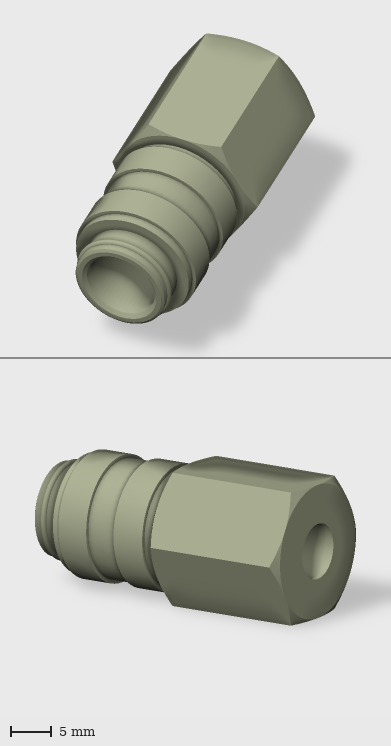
import cadquery as cq
import math

total_length = 38.0

across_flats = 17.0
across_corners = across_flats / math.cos(math.radians(30))
hex_start = 19.05
hex_length = total_length - hex_start
hex_chamfer_angle = 30.0

neck_diameter = 13.65
sleeve_diameter = 15.2
sleeve_start = 3.95
sleeve_end = 18.43
band_diameter = 16.2
front_band = (5.05, 9.15)
rear_band = (13.2, 17.4)

tip_diameter = 12.0
tip_chamfer_length = 0.23
tip_chamfer_depth = 0.35
ring_center = 1.52
ring_section_radius = 0.4
ring_diameter = 12.73

through_diameter = 7.03
socket_diameter = 9.12
socket_depth = 9.5
mouth_diameter = 10.07
mouth_chamfer_length = 0.45


def revolve_about_y(points):
    """Revolve a polygon of (radius, Y) points about the Y axis."""
    return cq.Workplane("XY").polyline(points).close().revolve(360, (0, 0, 0), (0, 1, 0))


def cylinder(diameter, start, end):
    """Solid cylinder on the Y axis between two Y positions."""
    radius = diameter / 2
    return revolve_about_y([(0, start), (radius, start), (radius, end), (0, end)])


def chamfered_hexagon():
    """Hexagon whose corners are cut by a cone at both ends."""
    corner_radius = across_corners / 2
    face_radius = across_flats / 2
    chamfer_length = (corner_radius - face_radius) * math.tan(math.radians(hex_chamfer_angle))
    prism = (
        cq.Workplane("XZ", origin=(0, hex_start, 0))
        .polygon(6, across_corners)
        .extrude(-hex_length)
    )
    envelope = revolve_about_y([
        (0, hex_start),
        (face_radius, hex_start),
        (corner_radius, hex_start + chamfer_length),
        (corner_radius, total_length - chamfer_length),
        (face_radius, total_length),
        (0, total_length),
    ])
    return prism.intersect(envelope)


def chamfered_tip():
    """Tip cylinder with a conical lead-in at its free end."""
    radius = tip_diameter / 2
    return revolve_about_y([
        (0, 0),
        (radius - tip_chamfer_depth, 0),
        (radius, tip_chamfer_length),
        (radius, sleeve_start),
        (0, sleeve_start),
    ])


def snap_ring():
    """Round-section ring seated in the tip."""
    section_center = ring_diameter / 2 - ring_section_radius
    return (
        cq.Workplane("XY")
        .moveTo(section_center, ring_center)
        .circle(ring_section_radius)
        .revolve(360, (0, 0, 0), (0, 1, 0))
    )


def bore():
    """Through hole with a wider, chamfered socket at the tip end."""
    mouth = revolve_about_y([
        (0, 0),
        (mouth_diameter / 2, 0),
        (socket_diameter / 2, mouth_chamfer_length),
        (0, mouth_chamfer_length),
    ])
    return (
        cylinder(through_diameter, 0, total_length)
        .union(cylinder(socket_diameter, 0, socket_depth))
        .union(mouth)
    )


body = chamfered_hexagon()
body = body.union(cylinder(neck_diameter, sleeve_end, hex_start))
body = body.union(cylinder(sleeve_diameter, sleeve_start, sleeve_end))
for band_start, band_end in (front_band, rear_band):
    body = body.union(cylinder(band_diameter, band_start, band_end))
body = body.union(chamfered_tip())
body = body.union(snap_ring())

result = body.cut(bore())